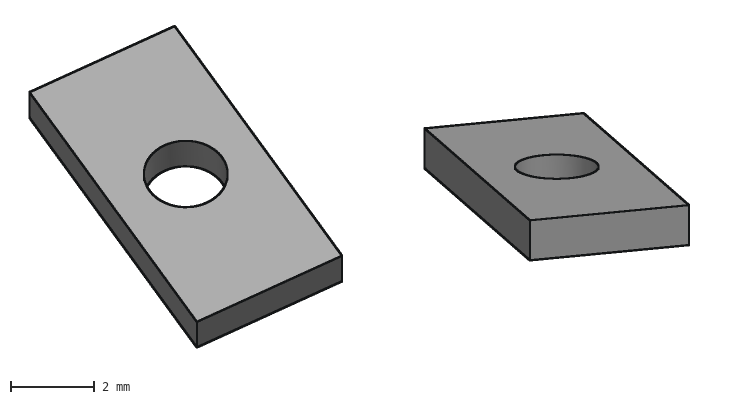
import cadquery as cq

length = 8.0
width = 4.0
thickness = 1.0
hole_diameter = 2.0

plate = cq.Workplane("XY").box(length, width, thickness)

result = plate.faces(">Z").workplane().hole(hole_diameter)